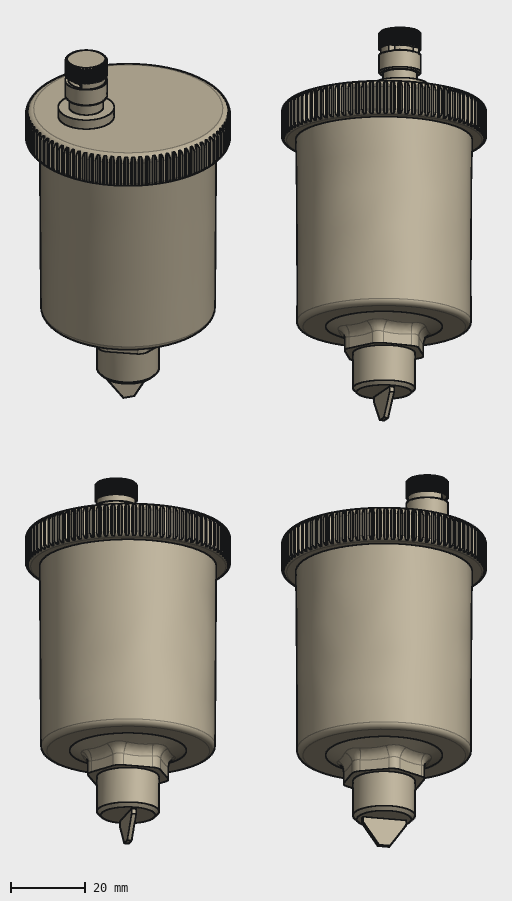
import cadquery as cq
import math

total_height = 104.5
stem_bottom_z = 7.5
hex_bottom_z = 18.3
body_bottom_z = 25.7
cap_bottom_z = 77.7
cap_top_z = 87.2
flange_top_z = 89.9
collar_bottom_z = 93.0
collar_top_z = 98.0
knob_bottom_z = 99.9

body_top_radius = 23.7
body_bottom_radius = 23.4
body_rim_fillet = 1.6

cap_radius = 27.5
cap_top_fillet = 2.1
cap_bottom_fillet = 1.3
cap_groove_count = 90
cap_groove_depth = 0.6
cap_groove_mouth = 1.3
cap_groove_floor = 0.5

hex_across_flats = 20.1
hex_corner_fillet = 3.0
cone_top_radius = 15.7
cone_slope_degrees = 24
hex_blend_radius = 3.0
blend_zone_clearance = 0.5

stem_radius = 8.4
stem_chamfer = 1.0

blade_thickness = 1.3
blade_width = 11.9
blade_tip_width = 3.1
blade_shoulder_z = 6.1

valve_y = -12.0
flange_radius = 7.5
lower_neck_radius = 4.6
collar_radius = 5.6
collar_chamfer = 0.4
upper_neck_radius = 5.2
knob_chamfer = 0.5
knob_groove_count = 36
knob_groove_depth = 0.3
knob_groove_mouth = 0.6
knob_groove_floor = 0.3

vent_core_radius = 4.0
vent_core_foot_radius = 4.8
vent_core_foot_height = 0.6
vent_edge_offset = 2.9


def cylinder(radius, bottom_z, top_z):
    return cq.Workplane("XY").workplane(offset=bottom_z).circle(radius).extrude(top_z - bottom_z)


def revolved(profile):
    """Solid of revolution about Z from (radius, z) points."""
    return cq.Workplane("XZ").polyline(profile).close().revolve(360, (0, 0, 0), (0, 1, 0))


def polar(radius, angle):
    return radius * math.cos(angle), radius * math.sin(angle)


def knurled_prism(radius, groove_count, groove_depth, mouth_width, floor_width, bottom_z, top_z):
    """Prism whose outline has tapered flat-floored grooves, one of them centred on -Y."""
    pitch = 2 * math.pi / groove_count
    floor_radius = radius - groove_depth
    half_mouth = math.asin(mouth_width / 2 / radius)
    half_floor = math.asin(floor_width / 2 / floor_radius)
    first_angle = -math.pi / 2
    outline = cq.Workplane("XY").workplane(offset=bottom_z)
    outline = outline.moveTo(*polar(radius, first_angle - half_mouth))
    for index in range(groove_count):
        angle = first_angle + index * pitch
        ridge_middle = polar(radius, angle + pitch / 2)
        ridge_end = polar(radius, angle + pitch - half_mouth)
        outline = outline.lineTo(*polar(floor_radius, angle - half_floor))
        outline = outline.lineTo(*polar(floor_radius, angle + half_floor))
        outline = outline.lineTo(*polar(radius, angle + half_mouth))
        outline = outline.threePointArc(ridge_middle, ridge_end)
    return outline.close().extrude(top_z - bottom_z)


def make_body():
    profile = [
        (0, body_bottom_z),
        (body_bottom_radius, body_bottom_z),
        (body_top_radius, cap_bottom_z),
        (0, cap_bottom_z),
    ]
    body = revolved(profile)
    return body.faces("<Z").edges().fillet(body_rim_fillet)


def make_cap():
    blank = cylinder(cap_radius, cap_bottom_z, cap_top_z)
    blank = blank.faces(">Z").edges().fillet(cap_top_fillet)
    blank = blank.faces("<Z").edges().fillet(cap_bottom_fillet)
    knurl = knurled_prism(
        cap_radius,
        cap_groove_count,
        cap_groove_depth,
        cap_groove_mouth,
        cap_groove_floor,
        cap_bottom_z,
        cap_top_z,
    )
    return blank.intersect(knurl)


def make_hex_base():
    """Rounded hexagon blended into a shallow cone under the body."""
    corner_diameter = hex_across_flats / math.cos(math.pi / 6)
    hexagon = (
        cq.Workplane("XY")
        .workplane(offset=hex_bottom_z)
        .polygon(6, corner_diameter)
        .extrude(body_bottom_z - hex_bottom_z)
        .edges("|Z")
        .fillet(hex_corner_fillet)
    )
    cone_depth = cone_top_radius * math.tan(math.radians(cone_slope_degrees))
    cone_profile = [
        (0, body_bottom_z),
        (cone_top_radius, body_bottom_z),
        (0, body_bottom_z - cone_depth),
    ]
    cone = revolved(cone_profile)
    blend_zone = cq.selectors.BoxSelector(
        (-cone_top_radius, -cone_top_radius, body_bottom_z - cone_depth),
        (cone_top_radius, cone_top_radius, body_bottom_z - blend_zone_clearance),
    )
    joined = hexagon.union(cone)
    return joined.edges(blend_zone).edges("not |Z").fillet(hex_blend_radius)


def make_stem():
    stem = cylinder(stem_radius, stem_bottom_z, hex_bottom_z)
    return stem.faces("<Z").edges().chamfer(stem_chamfer)


def make_blade():
    outline = [
        (-blade_width / 2, stem_bottom_z),
        (-blade_width / 2, blade_shoulder_z),
        (-blade_tip_width / 2, 0),
        (blade_tip_width / 2, 0),
        (blade_width / 2, blade_shoulder_z),
        (blade_width / 2, stem_bottom_z),
    ]
    return cq.Workplane("YZ").polyline(outline).close().extrude(blade_thickness / 2, both=True)


def make_upper_neck():
    neck = cylinder(upper_neck_radius, collar_top_z, knob_bottom_z)
    window = (
        cq.Workplane("XY")
        .workplane(offset=collar_top_z)
        .center(0, -vent_edge_offset - upper_neck_radius / 2)
        .rect(2 * upper_neck_radius, upper_neck_radius)
        .extrude(knob_bottom_z - collar_top_z)
    )
    core = cylinder(vent_core_radius, collar_top_z, knob_bottom_z)
    foot_profile = [
        (0, collar_top_z),
        (vent_core_foot_radius, collar_top_z),
        (vent_core_radius, collar_top_z + vent_core_foot_height),
        (0, collar_top_z + vent_core_foot_height),
    ]
    return neck.cut(window).union(core).union(revolved(foot_profile))


def make_knob():
    blank = cylinder(collar_radius, knob_bottom_z, total_height)
    blank = blank.faces(">Z").edges().chamfer(knob_chamfer)
    knurl = knurled_prism(
        collar_radius,
        knob_groove_count,
        knob_groove_depth,
        knob_groove_mouth,
        knob_groove_floor,
        knob_bottom_z,
        total_height,
    )
    return blank.intersect(knurl)


def make_valve():
    collar = cylinder(collar_radius, collar_bottom_z, collar_top_z)
    collar = collar.faces("<Z").edges().chamfer(collar_chamfer)
    valve = (
        cylinder(flange_radius, cap_top_z, flange_top_z)
        .union(cylinder(lower_neck_radius, flange_top_z, collar_bottom_z))
        .union(collar)
        .union(make_upper_neck())
        .union(make_knob())
    )
    return valve.translate((0, valve_y, 0))


result = (
    make_body()
    .union(make_cap())
    .union(make_hex_base())
    .union(make_stem())
    .union(make_blade())
    .union(make_valve())
)